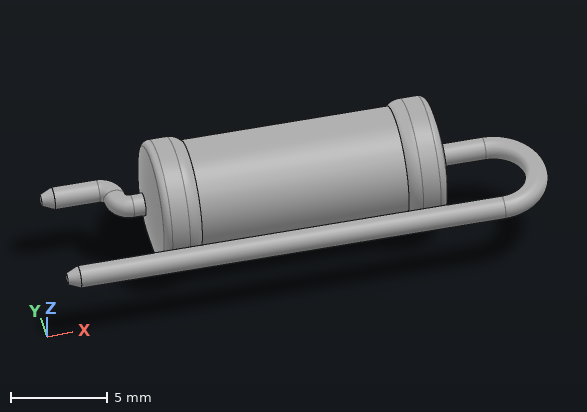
import cadquery as cq

total_length = 26.15
wire_radius = 0.6
tip_length = 0.65
tip_radius = 0.31

long_lead_drop = 4.5
short_lead_rise = 1.5
return_bend_radius = long_lead_drop / 2
return_bend_x = total_length - wire_radius - return_bend_radius
offset_bend_radius = short_lead_rise / 2
offset_bend_start_x = 3.03
offset_bend_mid_x = offset_bend_start_x + offset_bend_radius
offset_bend_end_x = offset_bend_mid_x + offset_bend_radius

body_length = 15.95
body_start_x = 5.13
body_center_x = body_start_x + body_length / 2
barrel_radius = 3.0
cap_radius = 3.3
dome_depth = 0.42
dome_edge_radius = 3.0
dome_quarter_depth = dome_depth / 4
cap_flat_start = 0.8
cap_flat_end = 1.75
shoulder_end = 2.45


def make_half_body():
    """Revolve the left half: barrel, convex shoulder, end cap, rounded rim and dome."""
    shoulder_drop = cap_radius - barrel_radius
    shoulder_run = shoulder_end - cap_flat_end
    shoulder_arc_radius = (shoulder_run**2 + shoulder_drop**2) / (2 * shoulder_drop)
    profile = (
        cq.Workplane("XY")
        .moveTo(body_length / 2, 0)
        .lineTo(body_length / 2, barrel_radius)
        .lineTo(shoulder_end, barrel_radius)
        .radiusArc((cap_flat_end, cap_radius), -shoulder_arc_radius)
        .lineTo(cap_flat_start, cap_radius)
        .tangentArcPoint((dome_depth, dome_edge_radius), relative=False)
        .threePointArc((dome_quarter_depth, dome_edge_radius / 2), (0, 0))
        .close()
    )
    return profile.revolve(360, (0, 0, 0), (1, 0, 0)).translate((body_start_x, 0, 0))


def make_body():
    """Join the half body with its mirror image about the middle of its length."""
    half = make_half_body()
    other_half = half.mirror("YZ", (body_center_x, 0, 0))
    return half.union(other_half)


def make_tip(y):
    """Tapered pin tip, widening from X = 0 to the full wire radius."""
    return (
        cq.Workplane("YZ", origin=(0, y, 0))
        .circle(tip_radius)
        .workplane(offset=tip_length)
        .circle(wire_radius)
        .loft(ruled=True)
    )


def make_leads():
    """Sweep one round wire along the whole route, through the body, and add both tips."""
    route = (
        cq.Workplane("XY")
        .moveTo(tip_length, short_lead_rise)
        .lineTo(offset_bend_start_x, short_lead_rise)
        .tangentArcPoint((offset_bend_mid_x, offset_bend_radius), relative=False)
        .tangentArcPoint((offset_bend_end_x, 0), relative=False)
        .lineTo(return_bend_x, 0)
        .tangentArcPoint((return_bend_x, -long_lead_drop), relative=False)
        .lineTo(tip_length, -long_lead_drop)
    )
    wire = (
        cq.Workplane("YZ", origin=(tip_length, short_lead_rise, 0))
        .circle(wire_radius)
        .sweep(route)
    )
    return wire.union(make_tip(short_lead_rise)).union(make_tip(-long_lead_drop))


result = make_body().union(make_leads())